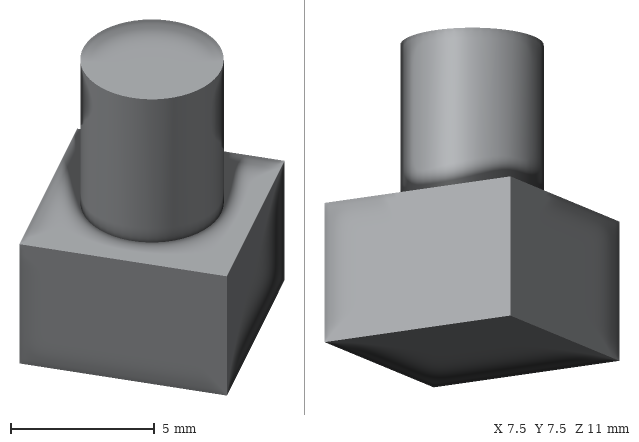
import cadquery as cq

base_width = 7.5
base_height = 5.0

pin_diameter = 5.0
total_height = 11.0
pin_height = total_height - base_height


def make_base():
    """Square block centred on the Z axis."""
    return cq.Workplane("XY").rect(base_width, base_width).extrude(base_height)


def add_pin(body):
    """Upright cylinder on the top face of the base."""
    return body.faces(">Z").workplane().circle(pin_diameter / 2).extrude(pin_height)


result = add_pin(make_base())